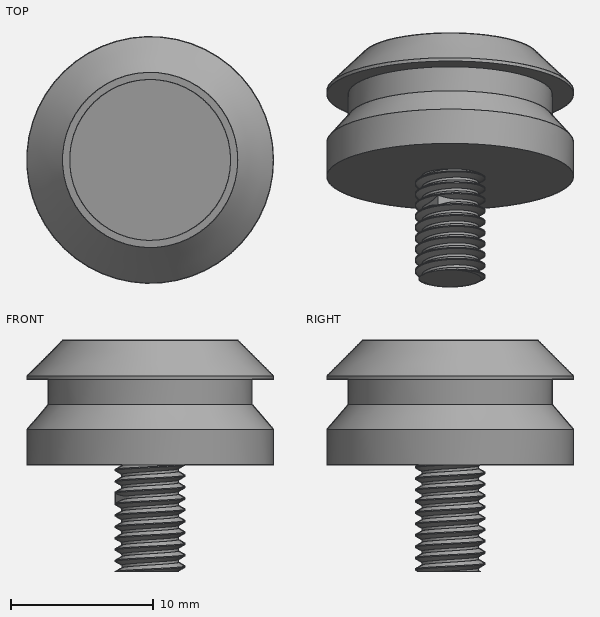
import cadquery as cq
import math

stud_length = 7.5
base_height = 2.5
lower_cone_height = 1.75
neck_height = 1.75
rim_height = 0.25
total_height = 16.25
knob_diameter = 17.33
neck_diameter = 14.33
top_diameter = 12.3

disc_diameter = 11.3
disc_thickness = 1.73

thread_diameter = 4.9
root_diameter = 3.99
thread_pitch = 0.8
root_flat = 0.19
flank_angle = 30.0
runout_center_z = 5.15
ridge_embed = 0.05

thread_radius = thread_diameter / 2
root_radius = root_diameter / 2


def make_knob_body():
    """Revolve the solid knob: base, lower cone, neck, rim and top cone."""
    knob_radius = knob_diameter / 2
    neck_radius = neck_diameter / 2
    base_top = stud_length + base_height
    neck_bottom = base_top + lower_cone_height
    neck_top = neck_bottom + neck_height
    profile = [
        (0, stud_length),
        (knob_radius, stud_length),
        (knob_radius, base_top),
        (neck_radius, neck_bottom),
        (neck_radius, neck_top),
        (knob_radius, neck_top),
        (knob_radius, neck_top + rim_height),
        (top_diameter / 2, total_height),
        (0, total_height),
    ]
    return cq.Workplane("XZ").polyline(profile).close().revolve(360, (0, 0), (0, 1))


def make_thread_ridge():
    """Sweep the ridge along a right-hand helix that overruns both ends of the stud."""
    turns_below = math.ceil(runout_center_z / thread_pitch) + 1
    turns_above = math.ceil((stud_length - runout_center_z) / thread_pitch) + 1
    start_z = runout_center_z - turns_below * thread_pitch
    helix_height = (turns_below + turns_above) * thread_pitch

    flank_slope = math.tan(math.radians(flank_angle))
    root_half = (thread_pitch - root_flat) / 2
    crest_half = root_half - (thread_radius - root_radius) * flank_slope
    inner_radius = root_radius - ridge_embed
    inner_half = root_half + ridge_embed * flank_slope
    profile = [
        (inner_radius, start_z - inner_half),
        (inner_radius, start_z + inner_half),
        (thread_radius, start_z + crest_half),
        (thread_radius, start_z - crest_half),
    ]
    helix = cq.Wire.makeHelix(thread_pitch, helix_height, root_radius, cq.Vector(0, 0, start_z))
    return cq.Workplane("XZ").polyline(profile).close().sweep(cq.Workplane(helix), isFrenet=True)


def make_groove_runout():
    """Wedge filling one groove turn at -X, with sides tangent to the thread root."""
    tangent_angle = math.acos(root_radius / thread_radius)
    tangent_x = -root_radius * math.cos(tangent_angle)
    tangent_y = root_radius * math.sin(tangent_angle)
    outline = [(0, 0), (tangent_x, tangent_y), (-thread_radius, 0), (tangent_x, -tangent_y)]
    bottom = cq.Workplane("XY").workplane(offset=runout_center_z - thread_pitch / 2)
    return bottom.polyline(outline).close().extrude(thread_pitch)


def make_stud():
    """Threaded stud from the lowest end up to the underside of the knob."""
    overrun = 4 * thread_pitch
    core_bottom = cq.Workplane("XY").workplane(offset=-overrun)
    core = core_bottom.circle(root_radius).extrude(stud_length + 2 * overrun)
    stud_envelope = cq.Workplane("XY").rect(knob_diameter, knob_diameter).extrude(stud_length)
    thread = core.union(make_thread_ridge()).intersect(stud_envelope)
    return thread.union(make_groove_runout())


def make_disc():
    """Flush disc that fills the recess in the top of the knob."""
    bottom = cq.Workplane("XY").workplane(offset=total_height - disc_thickness)
    return bottom.circle(disc_diameter / 2).extrude(disc_thickness)


disc = make_disc()
knob = make_knob_body().union(make_stud()).cut(disc)

result = cq.Compound.makeCompound([knob.val(), disc.val()])